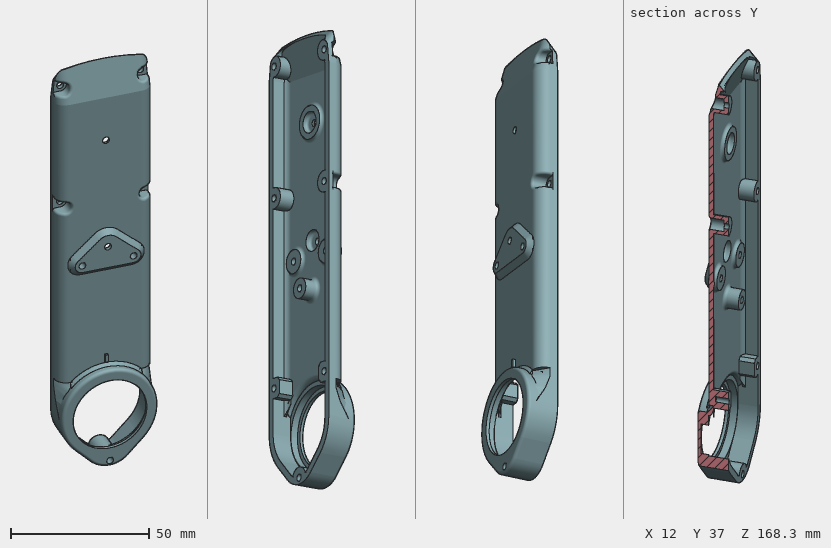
import cadquery as cq
import math


HALF_WIDTH = 18.5
BODY_DEPTH = 7.8
RING_DEPTH = 12.0
TOP_Z = 146.3
TIP_Z = -22.0
SIDE_WALL = 2.5
FLOOR_X = 6.0
BIG = 60.0
MARGIN = 0.1

EDGE_RADIUS = 4.7
INNER_ARC_RADIUS = 3.75
INNER_ARC_WIDTH = 2.65

ROOF_Z = 131.8
ROOF_TIP_X = 3.67
ROOF_ANGLE = math.degrees(math.atan((BODY_DEPTH - ROOF_TIP_X) / (TOP_Z - ROOF_Z)))
NOSE_Z = 142.2
TOP_ARC_END_Y = 15.2
TOP_ARC_DROP = 1.45
TOP_CORNER_MID_Y = 17.1
TOP_CORNER_MID_DROP = 2.6
TOP_CORNER_END_Y = 17.8
TOP_CORNER_END_DROP = 4.6
TOP_WALL = 1.4

TIP_RADIUS = 10.0
HOLE_RADIUS = 14.25
RING_SEAT_RADIUS = 15.8
RING_STEP_RADIUS = 17.6
RING_LIP_RADIUS = 19.4
RING_FLOOR_X = 10.7
RING_EDGE_RADIUS = 1.2
CHEEK_X = 8.8
CHEEK_TOP_X = 8.3
CHEEK_TOP_Z = 14.1
CHEEK_TURN_Z = 11.0
CHEEK_BEND_Z = 6.0
CHEEK_BEND_X = 5.0
RING_FOOT = 1.2
MARK_Z = 20.2
MARK_LENGTH = 3.1
MARK_WIDTH = 1.0
MARK_TOP_X = 8.8

SCREW_Y = 15.5
SCREW_RADIUS = 1.3
ROOF_SCREW_Z = 137.2
MIDDLE_SCREW_Z = 88.0
UPPER_SCREW_Z = (ROOF_SCREW_Z, MIDDLE_SCREW_Z)
LOWER_SCREW_Z = 17.0
TIP_SCREW_Z = -19.6
LUG_RADIUS = 4.0
LUG_BASE_X = 1.9
HEAD_RADIUS = 2.4
MOUTH_RADIUS = 1.0
LOWER_LUG_HEIGHT = 7.6
LOWER_LUG_INNER_Y = 12.2
LOWER_LUG_CHAMFER = 1.2
BLIND_DEPTH = 5.0

FOOT_FILLET = 1.3
BOSS_TOP_X = FLOOR_X - FOOT_FILLET
BOSS_HOLE_RADIUS = 1.3
UPPER_BOSS_Z = 113.9
UPPER_BOSS_RADIUS = 6.3
UPPER_RECESS_X = 6.8
RECESS_RADIUS = 4.0
RECESS_FILLET = 0.9
PIVOT_Z = 69.9
PIVOT_RECESS_X = 8.3
PAIR_Y = 9.9
PAIR_Z = 63.9
PAIR_RADIUS = 4.5
POST_Z = 51.2
POST_RADIUS = 3.8
POST_TOP_X = 0.3

PAD_TOP_X = 9.9
PAD_FLANK_ANGLE = 45
PAD_PIVOT_RADIUS = 6.9
PAD_PAIR_RADIUS = 4.9


def plane_at(x):
    """Sketch plane at depth x, with local axes along Y and Z."""
    return cq.Workplane("YZ", origin=(x, 0, 0))


def mirrored(point):
    return -point[0], point[1]


def disc(y, z, radius, x0, x1):
    return plane_at(x0).center(y, z).circle(radius).extrude(x1 - x0)


def cone(y, z, x0, radius0, x1, radius1):
    solid = cq.Solid.makeCone(radius0, radius1, x1 - x0, cq.Vector(x0, y, z), cq.Vector(1, 0, 0))
    return cq.Workplane(obj=solid)


def top_outline(x, inset, drop, depth):
    """Plate reaching up from z = 0 with slightly leaning sides and a gently curved top."""
    half = HALF_WIDTH - inset
    crown = TOP_Z - drop
    arc_end = (TOP_ARC_END_Y - inset, crown - TOP_ARC_DROP)
    corner_mid = (TOP_CORNER_MID_Y - inset, crown - TOP_CORNER_MID_DROP)
    corner_end = (TOP_CORNER_END_Y - inset, crown - TOP_CORNER_END_DROP)
    return (
        plane_at(x)
        .moveTo(-half, 0)
        .lineTo(half, 0)
        .lineTo(half, ROOF_Z)
        .lineTo(*corner_end)
        .threePointArc(corner_mid, arc_end)
        .threePointArc((0, crown), mirrored(arc_end))
        .threePointArc(mirrored(corner_mid), mirrored(corner_end))
        .lineTo(-half, ROOF_Z)
        .close()
        .extrude(depth)
    )


def make_plate():
    """Upper plate whose curved top edge is bevelled towards the rim."""
    front = top_outline(0, 0, TOP_Z - NOSE_Z, BODY_DEPTH).faces("<X").wires().val()
    crest = top_outline(ROOF_TIP_X, 0, 0, BODY_DEPTH).faces("<X").wires().val()
    nose = cq.Workplane(obj=cq.Solid.makeLoft([front, crest], True))
    return nose.union(top_outline(ROOF_TIP_X, 0, 0, BODY_DEPTH - ROOF_TIP_X))


def ring_outline(inset, depth):
    """Round top, 45 degree flanks and a rounded tip."""
    radius = HALF_WIDTH - inset
    tip_radius = TIP_RADIUS - inset
    tip_bottom = TIP_Z + inset
    tip_center = tip_bottom + tip_radius
    half_root = math.sqrt(0.5)
    arc_end = radius * half_root
    mid_y = radius * math.cos(math.pi / 8)
    mid_z = -radius * math.sin(math.pi / 8)
    tip_y = tip_radius * half_root
    tip_z = tip_center - tip_y
    return (
        plane_at(0)
        .moveTo(-radius, 0)
        .threePointArc((-mid_y, mid_z), (-arc_end, -arc_end))
        .lineTo(-tip_y, tip_z)
        .threePointArc((0, tip_bottom), (tip_y, tip_z))
        .lineTo(arc_end, -arc_end)
        .threePointArc((mid_y, mid_z), (radius, 0))
        .threePointArc((0, radius), (-radius, 0))
        .close()
        .extrude(depth)
    )


def cut_relief(bar, side, z):
    """Screw head relief, open to the back and to the side, with a rounded mouth."""
    depth = BODY_DEPTH - LUG_BASE_X
    slot_y = side * (SCREW_Y + HALF_WIDTH / 2)
    slot = plane_at(LUG_BASE_X).center(slot_y, z).rect(HALF_WIDTH, 2 * HEAD_RADIUS).extrude(depth)
    bar = bar.cut(slot.union(disc(side * SCREW_Y, z, HEAD_RADIUS, LUG_BASE_X, BODY_DEPTH)))
    outer = side * 2 * HALF_WIDTH
    inner = side * (SCREW_Y - HEAD_RADIUS - MARGIN)
    above_base = cq.selectors.BoxSelector(
        (LUG_BASE_X + MARGIN, min(inner, outer), z - HEAD_RADIUS - MARGIN),
        (BODY_DEPTH + MARGIN, max(inner, outer), z + HEAD_RADIUS + MARGIN),
    )
    seam_y = side * SCREW_Y
    seams = cq.selectors.BoxSelector(
        (0, seam_y - MARGIN, z - BIG), (BODY_DEPTH, seam_y + MARGIN, z + BIG)
    )
    return bar.edges(above_base - seams).fillet(MOUTH_RADIUS)


def rounded_bar(front_x):
    """Straight bar along Z with both long back edges rounded."""
    depth = BODY_DEPTH - front_x
    bar = plane_at(front_x).center(0, TOP_Z / 2).rect(2 * HALF_WIDTH, 2 * TOP_Z).extrude(depth)
    return bar.faces(">X").edges("|Z").fillet(EDGE_RADIUS)


def inner_bar():
    """Cavity section: upright walls, then an arc running smoothly into the floor."""
    half = HALF_WIDTH - SIDE_WALL
    end_angle = math.asin(INNER_ARC_WIDTH / INNER_ARC_RADIUS)

    def arc_point(angle):
        x = FLOOR_X - INNER_ARC_RADIUS * (1 - math.cos(angle))
        return x, half - INNER_ARC_WIDTH + INNER_ARC_RADIUS * math.sin(angle)

    def other_side(point):
        return point[0], -point[1]

    wall_end = arc_point(end_angle)
    middle = arc_point(end_angle / 2)
    floor_end = arc_point(0)
    return (
        cq.Workplane("XY")
        .moveTo(0, -half)
        .lineTo(*other_side(wall_end))
        .threePointArc(other_side(middle), other_side(floor_end))
        .lineTo(*floor_end)
        .threePointArc(middle, wall_end)
        .lineTo(0, half)
        .close()
        .extrude(TOP_Z)
    )


def side_profile(points):
    return cq.Workplane("XZ", origin=(0, BIG / 2, 0)).polyline(points).close().extrude(BIG)


def make_body():
    """Plate shaped by a straight rounded bar and by one leaning forward as the roof."""
    straight = rounded_bar(0)
    leaning = rounded_bar(-BIG).rotate((BODY_DEPTH, 0, ROOF_Z), (BODY_DEPTH, 1, ROOF_Z), -ROOF_ANGLE)
    for side in (-1, 1):
        straight = cut_relief(straight, side, MIDDLE_SCREW_Z)
        leaning = cut_relief(leaning, side, ROOF_SCREW_Z)
    above_cheeks = plane_at(0).center(0, CHEEK_TOP_Z + TOP_Z / 2).rect(BIG, TOP_Z).extrude(BODY_DEPTH)
    return make_plate().intersect(straight).intersect(leaning).intersect(above_cheeks)


def make_cheeks():
    """Sides beside the ring, spreading from the rounded bar to the ring's full width."""

    def section(z, edge_x, back_x):
        ring_y = math.sqrt(HALF_WIDTH**2 - z**2)
        corners = [(0, -HALF_WIDTH), (edge_x, -HALF_WIDTH), (back_x, MARGIN - ring_y)]
        corners += [(x, -y) for x, y in reversed(corners)]
        return cq.Wire.makePolygon([cq.Vector(x, y, z) for x, y in corners], close=True)

    bar_edge_x = BODY_DEPTH - EDGE_RADIUS
    sections = [
        section(CHEEK_TOP_Z, bar_edge_x, CHEEK_TOP_X),
        section(CHEEK_TURN_Z, bar_edge_x, CHEEK_X),
        section(CHEEK_BEND_Z, CHEEK_BEND_X, CHEEK_X),
        section(0, CHEEK_X - MARGIN, CHEEK_X),
    ]
    return cq.Workplane(obj=cq.Solid.makeLoft(sections, True))


def make_ring():
    """Full-depth ring with a rounded back edge and a small bevelled foot on the flat back."""
    ring = ring_outline(0, RING_DEPTH).faces(">X").edges().fillet(RING_EDGE_RADIUS)
    foot = cone(0, 0, BODY_DEPTH, HALF_WIDTH + RING_FOOT, BODY_DEPTH + RING_FOOT, HALF_WIDTH)
    clip = cq.Workplane("XY").box(BIG, 2 * (HALF_WIDTH - EDGE_RADIUS), BIG).translate((0, 0, BIG / 2))
    return ring.union(foot.intersect(clip))


def make_pad():
    """Rounded triangle around the pivot and the boss pair, with 45 degree flanks."""
    height = PAD_TOP_X - BODY_DEPTH
    span = math.hypot(PAIR_Y, PIVOT_Z - PAIR_Z)
    slope = math.atan2(PAIR_Z - PIVOT_Z, PAIR_Y)
    normal = slope + math.acos((PAD_PIVOT_RADIUS - PAD_PAIR_RADIUS) / span)

    def rim(y, z, radius, angle):
        return y + radius * math.cos(angle), z + radius * math.sin(angle)

    shoulder = rim(0, PIVOT_Z, PAD_PIVOT_RADIUS, normal)
    hip = rim(PAIR_Y, PAIR_Z, PAD_PAIR_RADIUS, normal)
    hip_side = rim(PAIR_Y, PAIR_Z, PAD_PAIR_RADIUS, (normal - math.pi / 2) / 2)
    heel = rim(PAIR_Y, PAIR_Z, PAD_PAIR_RADIUS, -math.pi / 2)
    return (
        plane_at(BODY_DEPTH)
        .moveTo(*mirrored(shoulder))
        .threePointArc((0, PIVOT_Z + PAD_PIVOT_RADIUS), shoulder)
        .lineTo(*hip)
        .threePointArc(hip_side, heel)
        .lineTo(*mirrored(heel))
        .threePointArc(mirrored(hip_side), mirrored(hip))
        .close()
        .extrude(height, taper=PAD_FLANK_ANGLE)
    )


def make_mark():
    """Small raised mark on the back just above the ring."""
    height = MARK_TOP_X - BODY_DEPTH
    mark_center = MARK_Z + MARK_LENGTH / 2
    return plane_at(BODY_DEPTH).center(0, mark_center).rect(MARK_WIDTH, MARK_LENGTH).extrude(height)


def cavity_parts():
    """Hollows of the open side: the long trough, then the steps down into the ring."""
    inner_half = HALF_WIDTH - SIDE_WALL
    roof_slope = (BODY_DEPTH - ROOF_TIP_X) / (TOP_Z - ROOF_Z)
    roof_end_x = FLOOR_X - roof_slope * (TOP_Z - ROOF_Z)
    roof = side_profile([(0, 0), (FLOOR_X, 0), (FLOOR_X, ROOF_Z), (roof_end_x, TOP_Z), (0, TOP_Z)])
    upper = top_outline(0, SIDE_WALL, TOP_WALL, FLOOR_X).intersect(roof).intersect(inner_bar())
    step_x = FLOOR_X + RING_LIP_RADIUS - RING_STEP_RADIUS
    clip = cq.Workplane("XY").box(BIG, 2 * inner_half, BIG).translate((0, 0, BIG / 2))
    bulge = (step_x - FLOOR_X) * (1 - math.sqrt(0.5))
    well = (
        cq.Workplane("XY")
        .moveTo(FLOOR_X, 0)
        .lineTo(FLOOR_X, RING_LIP_RADIUS)
        .threePointArc((FLOOR_X + bulge, RING_STEP_RADIUS + bulge), (step_x, RING_STEP_RADIUS))
        .lineTo(step_x, 0)
        .close()
        .revolve(360, (0, 0, 0), (1, 0, 0))
    )
    well = well.intersect(clip)
    sides = plane_at(0).rect(2 * inner_half, CHEEK_TOP_Z).extrude(step_x).translate((0, 0, CHEEK_TOP_Z / 2))
    sides = sides.intersect(disc(0, 0, RING_STEP_RADIUS, 0, step_x))
    lower = ring_outline(SIDE_WALL, step_x)
    seat = disc(0, 0, RING_SEAT_RADIUS, 0, RING_FLOOR_X)
    return [upper, well, sides, lower, seat]


def add_screw_lugs(part, envelope):
    lugs = disc(0, TIP_SCREW_Z, LUG_RADIUS, 0, RING_FLOOR_X)
    for side in (-1, 1):
        for z in UPPER_SCREW_Z:
            lugs = lugs.union(disc(side * SCREW_Y, z, LUG_RADIUS, 0, BODY_DEPTH))
        lug_width = HALF_WIDTH - LOWER_LUG_INNER_Y
        block = (
            plane_at(0)
            .center(side * (HALF_WIDTH - lug_width / 2), LOWER_SCREW_Z)
            .rect(lug_width, LOWER_LUG_HEIGHT)
            .extrude(BODY_DEPTH)
            .edges("|X")
            .edges("<Y" if side > 0 else ">Y")
            .chamfer(LOWER_LUG_CHAMFER)
        )
        lugs = lugs.union(block)
    return part.union(lugs.intersect(envelope))


def cut_screw_holes(part):
    part = part.cut(disc(0, TIP_SCREW_Z, SCREW_RADIUS, 0, RING_DEPTH))
    for side in (-1, 1):
        y = side * SCREW_Y
        part = part.cut(disc(y, LOWER_SCREW_Z, SCREW_RADIUS, 0, BLIND_DEPTH))
        for z in UPPER_SCREW_Z:
            part = part.cut(disc(y, z, SCREW_RADIUS, 0, LUG_BASE_X))
    return part


def boss(y, z, radius, top_x):
    """Round boss on the floor with a fillet around its foot."""
    foot_x = FLOOR_X - FOOT_FILLET
    bulge = FOOT_FILLET * (1 - math.sqrt(0.5))
    foot = (
        cq.Workplane("XY", origin=(0, y, z))
        .moveTo(foot_x, 0)
        .lineTo(foot_x, radius)
        .threePointArc((FLOOR_X - bulge, radius + bulge), (FLOOR_X, radius + FOOT_FILLET))
        .lineTo(FLOOR_X, 0)
        .close()
        .revolve(360, (0, 0, 0), (1, 0, 0))
    )
    return foot.union(disc(y, z, radius, top_x, FLOOR_X))


def recess(z, x0, x1):
    return disc(0, z, RECESS_RADIUS, x0, x1).faces(">X").edges().fillet(RECESS_FILLET)


def add_floor_bosses(part):
    clip = plane_at(0).center(0, TOP_Z / 2).rect(2 * HALF_WIDTH - SIDE_WALL, TOP_Z).extrude(BODY_DEPTH)
    part = part.union(boss(0, UPPER_BOSS_Z, UPPER_BOSS_RADIUS, BOSS_TOP_X))
    part = part.cut(recess(UPPER_BOSS_Z, BOSS_TOP_X, UPPER_RECESS_X))
    part = part.cut(disc(0, UPPER_BOSS_Z, BOSS_HOLE_RADIUS, 0, BODY_DEPTH))

    for y in (-PAIR_Y, PAIR_Y):
        part = part.union(boss(y, PAIR_Z, PAIR_RADIUS, BOSS_TOP_X).intersect(clip))
        part = part.cut(disc(y, PAIR_Z, BOSS_HOLE_RADIUS, 0, PAD_TOP_X))

    part = part.cut(recess(PIVOT_Z, FLOOR_X, PIVOT_RECESS_X))
    part = part.cut(disc(0, PIVOT_Z, BOSS_HOLE_RADIUS, 0, PAD_TOP_X))

    part = part.union(boss(0, POST_Z, POST_RADIUS, POST_TOP_X))
    return part.cut(disc(0, POST_Z, BOSS_HOLE_RADIUS, POST_TOP_X, POST_TOP_X + BLIND_DEPTH))


envelope = make_body().union(make_cheeks()).union(make_ring())
result = envelope
for hollow in cavity_parts():
    result = result.cut(hollow)
result = result.union(make_pad()).union(make_mark())
result = add_screw_lugs(result, envelope)
result = cut_screw_holes(result)
result = add_floor_bosses(result)
result = result.cut(disc(0, 0, HOLE_RADIUS, 0, RING_DEPTH))